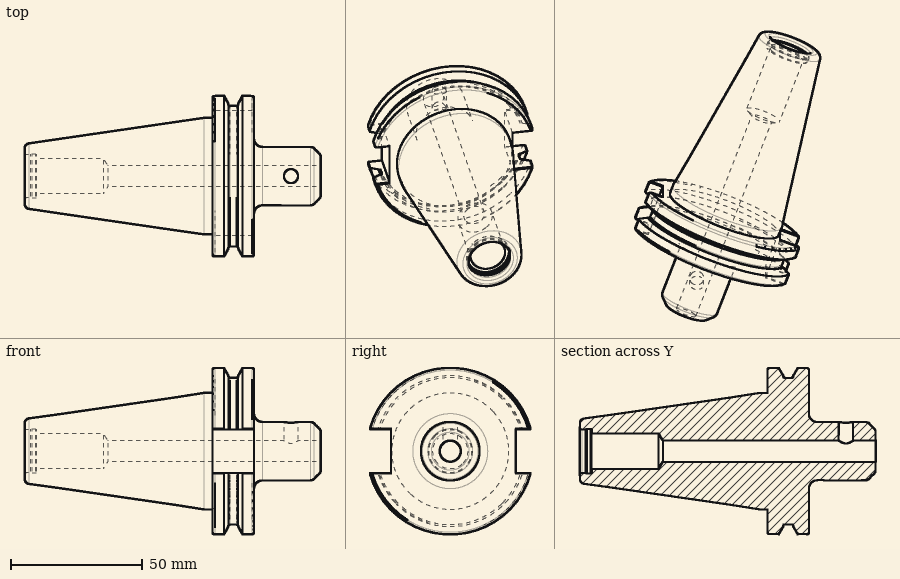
import math
import cadquery as cq


gauge_diameter = 44.45
gauge_radius = gauge_diameter / 2
taper_length = 68.25
taper_ratio = 7 / 24
small_end_x = -taper_length
small_end_radius = gauge_radius - taper_length * taper_ratio / 2
small_end_fillet = 2.0

flange_diameter = 63.5
flange_radius = flange_diameter / 2
flange_start_x = 3.175
flange_width = 15.875
flange_end_x = flange_start_x + flange_width
flange_rim_fillet = 0.9

groove_center_x = flange_start_x + flange_width / 2
groove_top_width = 7.1
groove_half_angle = math.radians(30)
groove_depth = 3.73
relief_width = 3.65
relief_corner_fillet = 0.5

slot_width = 16.5
slot_floor_minus_y = 22.6
slot_floor_plus_y = 25.0
slot_edge_chamfer = 0.32

nose_diameter = 22.35
nose_radius = nose_diameter / 2
nose_length = 25.4
nose_end_x = flange_end_x + nose_length
nose_root_fillet = 3.1
nose_chamfer = 3.175
nose_chamfer_blend = 1.9

screw_diameter = 5.36
screw_to_nose_end = 11.4

pilot_diameter = 16.3
pilot_mouth_fillet = 0.9
ring_start_depth = 2.3
ring_diameter = 16.8
ring_flank_angle = math.radians(30)
pilot_depth = 4.6
tap_diameter = 13.39
tap_depth = 30.0
drill_half_angle = math.radians(59)
through_diameter = 7.94

tolerance = 0.01


def revolve_about_x(profile):
    return profile.close().revolve(360, (0, 0, 0), (1, 0, 0))


def edges_within(start_x, end_x, radius):
    """Selector for edges between two X positions that stay inside the given radius."""
    reach = radius + tolerance
    return cq.selectors.BoxSelector(
        (start_x - tolerance, -reach, -reach),
        (end_x + tolerance, reach, reach),
        boundingbox=True,
    )


def make_shank():
    shank = revolve_about_x(
        cq.Workplane("XY")
        .moveTo(small_end_x, 0)
        .lineTo(small_end_x, small_end_radius)
        .lineTo(0, gauge_radius)
        .lineTo(flange_start_x, gauge_radius)
        .lineTo(flange_start_x, 0)
    )
    return shank.edges(edges_within(small_end_x, small_end_x, small_end_radius)).fillet(small_end_fillet)


def make_flange():
    flange = (
        cq.Workplane("YZ", origin=(flange_start_x, 0, 0))
        .circle(flange_radius)
        .extrude(flange_width)
        .edges("%CIRCLE")
        .fillet(flange_rim_fillet)
    )
    return cut_drive_slots(flange).cut(make_groove_cutter())


def cut_drive_slots(flange):
    for side, floor_distance in ((-1, slot_floor_minus_y), (1, slot_floor_plus_y)):
        slot = (
            cq.Workplane("XY")
            .box(2 * flange_width, flange_radius, slot_width)
            .translate((groove_center_x, side * (floor_distance + flange_radius / 2), 0))
        )
        flange = flange.cut(slot)
    return chamfer_slot_walls(flange)


def chamfer_slot_walls(flange):
    """Break the edges of the slot walls, except where they meet the slot floors."""
    slot_faces = cq.selectors.BoxSelector(
        (flange_start_x - tolerance, -flange_radius, -slot_width / 2 - tolerance),
        (flange_end_x + tolerance, flange_radius, slot_width / 2 + tolerance),
        boundingbox=True,
    )
    wall_edges = flange.faces(slot_faces).faces("#Y").edges()
    floor_edges = flange.faces(slot_faces).faces("|Y").edges()
    return wall_edges.newObject([
        edge
        for edge in wall_edges.vals()
        if not any(edge.isSame(floor_edge) for floor_edge in floor_edges.vals())
    ]).chamfer(slot_edge_chamfer)


def make_groove_cutter():
    root_radius = flange_radius - groove_depth
    v_depth = (groove_top_width - relief_width) / 2 / math.tan(groove_half_angle)
    relief_half = relief_width / 2
    clearance = 1.0
    outer_half = groove_top_width / 2 + clearance * math.tan(groove_half_angle)
    cutter = revolve_about_x(
        cq.Workplane("XY")
        .moveTo(groove_center_x - relief_half, root_radius)
        .lineTo(groove_center_x - relief_half, flange_radius - v_depth)
        .lineTo(groove_center_x - outer_half, flange_radius + clearance)
        .lineTo(groove_center_x + outer_half, flange_radius + clearance)
        .lineTo(groove_center_x + relief_half, flange_radius - v_depth)
        .lineTo(groove_center_x + relief_half, root_radius)
    )
    for side in (-1, 1):
        wall_x = groove_center_x + side * relief_half
        cutter = cutter.edges(edges_within(wall_x, wall_x, root_radius)).fillet(relief_corner_fillet)
    return cutter


def make_nose():
    root_x = flange_end_x + nose_root_fillet
    root_radius = nose_radius + nose_root_fillet
    arc_middle = nose_root_fillet * (1 - math.sqrt(0.5))
    nose = revolve_about_x(
        cq.Workplane("XY")
        .moveTo(flange_end_x, 0)
        .lineTo(flange_end_x, root_radius)
        .threePointArc((flange_end_x + arc_middle, nose_radius + arc_middle), (root_x, nose_radius))
        .lineTo(nose_end_x - nose_chamfer, nose_radius)
        .lineTo(nose_end_x, nose_radius - nose_chamfer)
        .lineTo(nose_end_x, 0)
    )
    chamfer_edges = edges_within(nose_end_x - nose_chamfer, nose_end_x, nose_radius)
    return nose.edges(chamfer_edges).edges("%CIRCLE").fillet(nose_chamfer_blend)


def make_pull_stud_bore():
    pilot_radius = pilot_diameter / 2
    ring_radius = ring_diameter / 2
    tap_radius = tap_diameter / 2
    through_radius = through_diameter / 2
    mouth_radius = pilot_radius + pilot_mouth_fillet
    arc_middle = pilot_mouth_fillet * (1 - math.sqrt(0.5))
    ring_start_x = small_end_x + ring_start_depth
    pilot_end_x = small_end_x + pilot_depth
    ring_flank_length = (ring_radius - pilot_radius) / math.tan(ring_flank_angle)
    tap_end_x = small_end_x + tap_depth
    cone_end_x = tap_end_x + (tap_radius - through_radius) / math.tan(drill_half_angle)
    return revolve_about_x(
        cq.Workplane("XY")
        .moveTo(small_end_x, 0)
        .lineTo(small_end_x, mouth_radius)
        .threePointArc(
            (small_end_x + arc_middle, pilot_radius + arc_middle),
            (small_end_x + pilot_mouth_fillet, pilot_radius),
        )
        .lineTo(ring_start_x, pilot_radius)
        .lineTo(ring_start_x + ring_flank_length, ring_radius)
        .lineTo(pilot_end_x - ring_flank_length, ring_radius)
        .lineTo(pilot_end_x, pilot_radius)
        .lineTo(pilot_end_x, tap_radius)
        .lineTo(tap_end_x, tap_radius)
        .lineTo(cone_end_x, through_radius)
        .lineTo(nose_end_x, through_radius)
        .lineTo(nose_end_x, 0)
    )


def make_screw_hole():
    screw_x = nose_end_x - screw_to_nose_end
    return (
        cq.Workplane("XY", origin=(screw_x, 0, 0))
        .circle(screw_diameter / 2)
        .extrude(flange_radius)
    )


holder = make_shank().union(make_flange()).union(make_nose())
result = holder.cut(make_pull_stud_bore()).cut(make_screw_hole())